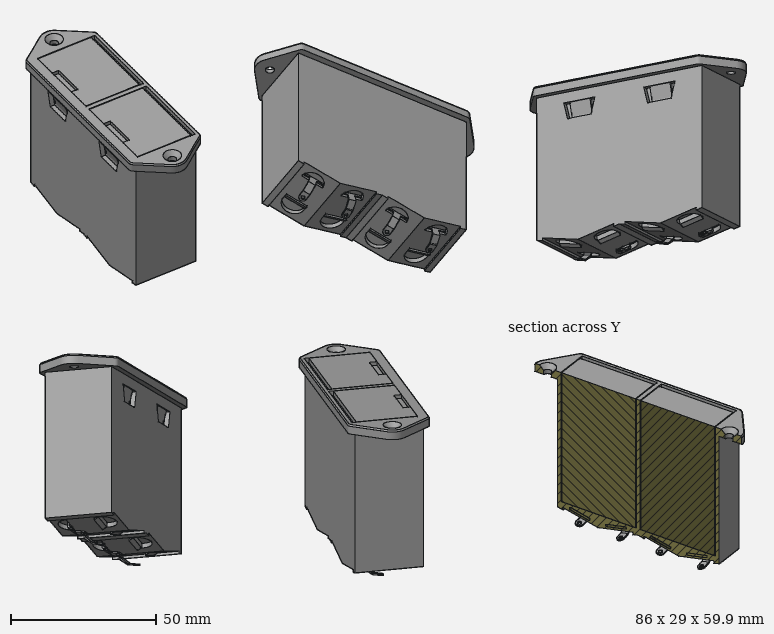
import cadquery as cq
import math

FLANGE_LENGTH = 86.0
FLANGE_WIDTH = 29.0
FLANGE_THICKNESS = 3.4
FLANGE_CORNER_RADIUS = 1.9
FLANGE_CHAMFER_HEIGHT = 0.6
FLANGE_CHAMFER_INSET = 0.35
TIP_RADIUS = 5.3
TIP_LINE_ANGLE = 36.9

SCREW_HOLE_DIAMETER = 3.0
COUNTERSINK_DIAMETER = 6.4
COUNTERSINK_ANGLE = 90.0
SCREW_HOLE_X = FLANGE_LENGTH / 2 - TIP_RADIUS

HOUSING_LENGTH = 67.1
HOUSING_WIDTH = 24.5
APEX_Z = -57.5
APEX_X = HOUSING_LENGTH / 4
UNDERSIDE_ANGLE = 12.0
LIP_WIDTH = 2.3
LIP_HEIGHT = 0.95

BAY_X = 16.4
BAY_LENGTH = 31.1
BAY_FRONT_Y = -10.5
DRAWER_CLEARANCE = 0.3
DRAWER_BACK_Y = 11.3
DRAWER_BOTTOM_Z = -52.0
GROOVE_BACK_Y = 12.9
GROOVE_DEPTH = 1.7
THUMB_SLOT_LENGTH = 12.2
THUMB_SLOT_WIDTH = 2.7
THUMB_SLOT_DEPTH = 1.4

LATCH_X = 16.25
WINDOW_TOP_Z = -7.1
WINDOW_HEIGHT = 5.9
WINDOW_TOP_LENGTH = 12.6
WINDOW_BOTTOM_LENGTH = 9.55
LATCH_LENGTH = 8.2
LATCH_HEIGHT = 4.9
LATCH_PROJECTION = 1.4

CONTACT_OFFSET = 7.8
CONTACT_PLACES = [(apex_x, side) for apex_x in (-APEX_X, APEX_X) for side in (-1, 1)]
RECESS_LENGTH = 21.15
RECESS_WIDTH = 8.4
RECESS_DEPTH = 1.7
BRIDGE_FRONT_Y = -3.95
BRIDGE_THICKNESS = 1.0
FOOT_FRONT_Y = -5.5
FOOT_HEIGHT = 0.9
LUG_WIDTH = 2.8
LUG_THICKNESS = 0.5
LUG_BACK_Y = 6.9
BRIDGE_BACK_Y = LUG_BACK_Y - LUG_THICKNESS
LUG_EYE_DIAMETER = 1.4
LUG_BEND_Y = 3.9
LUG_TIP_Y = 0.0
LUG_ROOT_DROP = 1.3
LUG_BEND_DROP = 3.4
LUG_TIP_DROP = 4.0

UNDERSIDE_SLOPE = math.tan(math.radians(UNDERSIDE_ANGLE))


def box_between(x_min, x_max, y_min, y_max, z_min, z_max):
    size = (x_max - x_min, y_max - y_min, z_max - z_min)
    return cq.Workplane("XY").box(*size, centered=False).translate((x_min, y_min, z_min))


def make_flange():
    """Hexagonal plate with rounded tips around the two countersunk screw holes."""
    half_width = FLANGE_WIDTH / 2
    normal_x = math.cos(math.radians(TIP_LINE_ANGLE))
    normal_y = math.sin(math.radians(TIP_LINE_ANGLE))
    tangent_x = SCREW_HOLE_X + TIP_RADIUS * normal_x
    tangent_y = TIP_RADIUS * normal_y
    corner_x = tangent_x - (half_width - tangent_y) * normal_y / normal_x
    tip_x = FLANGE_LENGTH / 2
    flange = (
        cq.Workplane("XY")
        .workplane(offset=-FLANGE_THICKNESS)
        .moveTo(-corner_x, -half_width)
        .lineTo(corner_x, -half_width)
        .lineTo(tangent_x, -tangent_y)
        .threePointArc((tip_x, 0), (tangent_x, tangent_y))
        .lineTo(corner_x, half_width)
        .lineTo(-corner_x, half_width)
        .lineTo(-tangent_x, tangent_y)
        .threePointArc((-tip_x, 0), (-tangent_x, -tangent_y))
        .close()
        .extrude(FLANGE_THICKNESS)
    )
    corners = cq.selectors.BoxSelector(
        (-corner_x - FLANGE_CORNER_RADIUS, -FLANGE_WIDTH, -FLANGE_THICKNESS),
        (corner_x + FLANGE_CORNER_RADIUS, FLANGE_WIDTH, 0),
    )
    flange = flange.edges("|Z").edges(corners).fillet(FLANGE_CORNER_RADIUS)
    flange = flange.faces(">Z").edges().chamfer(FLANGE_CHAMFER_HEIGHT, FLANGE_CHAMFER_INSET)
    return (
        flange.faces(">Z")
        .workplane(origin=(0, 0, 0))
        .pushPoints([(-SCREW_HOLE_X, 0), (SCREW_HOLE_X, 0)])
        .cskHole(SCREW_HOLE_DIAMETER, COUNTERSINK_DIAMETER, COUNTERSINK_ANGLE)
    )


def make_case():
    """Block below the flange, its underside two shallow V shapes between stepped lips."""
    half_length = HOUSING_LENGTH / 2
    recessed_half = APEX_X - LIP_WIDTH
    lip_end_z = APEX_Z + UNDERSIDE_SLOPE * APEX_X - LIP_HEIGHT
    step_top_z = APEX_Z + UNDERSIDE_SLOPE * recessed_half
    step_bottom_z = step_top_z - LIP_HEIGHT
    outline = [(half_length, -FLANGE_THICKNESS), (-half_length, -FLANGE_THICKNESS)]
    for center_x in (-APEX_X, APEX_X):
        outline += [
            (center_x - APEX_X, lip_end_z),
            (center_x - recessed_half, step_bottom_z),
            (center_x - recessed_half, step_top_z),
            (center_x, APEX_Z),
            (center_x + recessed_half, step_top_z),
            (center_x + recessed_half, step_bottom_z),
        ]
    outline.append((half_length, lip_end_z))
    return cq.Workplane("XZ").polyline(outline).close().extrude(HOUSING_WIDTH / 2, both=True)


def make_bay(side):
    """Space for one drawer, with the shallow finger groove behind it."""
    center_x = side * BAY_X
    x_min = center_x - BAY_LENGTH / 2
    x_max = center_x + BAY_LENGTH / 2
    bay = box_between(x_min, x_max, BAY_FRONT_Y, DRAWER_BACK_Y, DRAWER_BOTTOM_Z, 0)
    return bay.union(box_between(x_min, x_max, BAY_FRONT_Y, GROOVE_BACK_Y, -GROOVE_DEPTH, 0))


def make_window(side):
    """Tapered latch window through the front wall."""
    bottom_z = WINDOW_TOP_Z - WINDOW_HEIGHT
    return (
        cq.Workplane("XZ", origin=(side * LATCH_X, BAY_FRONT_Y, 0))
        .moveTo(-WINDOW_TOP_LENGTH / 2, WINDOW_TOP_Z)
        .lineTo(WINDOW_TOP_LENGTH / 2, WINDOW_TOP_Z)
        .lineTo(WINDOW_BOTTOM_LENGTH / 2, bottom_z)
        .lineTo(-WINDOW_BOTTOM_LENGTH / 2, bottom_z)
        .close()
        .extrude(HOUSING_WIDTH / 2 + BAY_FRONT_Y)
    )


def place_on_slope(shape, apex_x, side):
    """Tilt a level shape and move it onto the slope left (-1) or right (1) of an apex."""
    tilted = shape.rotate((0, 0, 0), (0, 1, 0), -side * UNDERSIDE_ANGLE)
    return tilted.translate((apex_x + side * CONTACT_OFFSET, 0, APEX_Z + CONTACT_OFFSET * UNDERSIDE_SLOPE))


def make_contact_recess():
    """Round-ended recess, cut upwards from the slope, with a bridge left across its mouth."""
    recess = cq.Workplane("XY").slot2D(RECESS_LENGTH, RECESS_WIDTH, 90).extrude(RECESS_DEPTH)
    bridge = box_between(
        -RECESS_WIDTH / 2, RECESS_WIDTH / 2, BRIDGE_FRONT_Y, BRIDGE_BACK_Y, 0, BRIDGE_THICKNESS
    )
    return recess.cut(bridge)


def make_housing():
    housing = make_flange().union(make_case())
    for side in (-1, 1):
        housing = housing.cut(make_bay(side)).cut(make_window(side))
    recess = make_contact_recess()
    for apex_x, side in CONTACT_PLACES:
        housing = housing.cut(place_on_slope(recess, apex_x, side))
    return housing


def make_drawer(side):
    """Drawer block with a thumb slot on top and a wedge-shaped latch on its front."""
    center_x = side * BAY_X
    half_length = BAY_LENGTH / 2 - DRAWER_CLEARANCE
    drawer = box_between(
        center_x - half_length, center_x + half_length,
        BAY_FRONT_Y, DRAWER_BACK_Y, DRAWER_BOTTOM_Z, 0,
    )
    thumb_slot = box_between(
        center_x - THUMB_SLOT_LENGTH / 2, center_x + THUMB_SLOT_LENGTH / 2,
        BAY_FRONT_Y, BAY_FRONT_Y + THUMB_SLOT_WIDTH, -THUMB_SLOT_DEPTH, 0,
    )
    latch = (
        cq.Workplane("YZ", origin=(side * LATCH_X, 0, 0))
        .moveTo(BAY_FRONT_Y, WINDOW_TOP_Z)
        .lineTo(BAY_FRONT_Y - LATCH_PROJECTION, WINDOW_TOP_Z)
        .lineTo(BAY_FRONT_Y, WINDOW_TOP_Z - LATCH_HEIGHT)
        .close()
        .extrude(LATCH_LENGTH / 2, both=True)
    )
    return drawer.cut(thumb_slot).union(latch)


def make_lug():
    """Bent solder lug with a rounded tip and an eye."""
    lug = (
        cq.Workplane("YZ")
        .moveTo(LUG_BACK_Y, RECESS_DEPTH)
        .lineTo(LUG_BACK_Y, -LUG_ROOT_DROP)
        .lineTo(LUG_BEND_Y, -LUG_BEND_DROP)
        .lineTo(LUG_TIP_Y, -LUG_TIP_DROP)
        .lineTo(LUG_TIP_Y, -LUG_TIP_DROP + LUG_THICKNESS)
        .lineTo(LUG_BEND_Y, -LUG_BEND_DROP + LUG_THICKNESS)
        .lineTo(LUG_BACK_Y - LUG_THICKNESS, -LUG_ROOT_DROP + LUG_THICKNESS)
        .lineTo(LUG_BACK_Y - LUG_THICKNESS, RECESS_DEPTH)
        .close()
        .extrude(LUG_WIDTH / 2, both=True)
    )
    strip_length = 2 * LUG_BACK_Y
    strip_center_y = LUG_TIP_Y + strip_length / 2
    strip_bottom = cq.Workplane("XY", origin=(0, strip_center_y, -LUG_TIP_DROP))
    strip = strip_bottom.slot2D(strip_length, LUG_WIDTH, 90).extrude(LUG_TIP_DROP + RECESS_DEPTH)
    eye_bottom = cq.Workplane("XY", origin=(0, LUG_TIP_Y + LUG_WIDTH / 2, -LUG_TIP_DROP))
    eye = eye_bottom.circle(LUG_EYE_DIAMETER / 2).extrude(LUG_TIP_DROP)
    return lug.intersect(strip).cut(eye)


def make_level_contact():
    """Contact plate above the bridge, with a wedge foot at one end and a lug at the other."""
    half_width = RECESS_WIDTH / 2
    plate = box_between(
        -half_width, half_width, FOOT_FRONT_Y, LUG_BACK_Y, BRIDGE_THICKNESS, RECESS_DEPTH
    ).intersect(make_contact_recess())
    foot = (
        cq.Workplane("YZ")
        .moveTo(FOOT_FRONT_Y, RECESS_DEPTH)
        .lineTo(FOOT_FRONT_Y, 0)
        .lineTo(BRIDGE_FRONT_Y, -FOOT_HEIGHT)
        .lineTo(BRIDGE_FRONT_Y, RECESS_DEPTH)
        .close()
        .extrude(half_width, both=True)
    )
    return plate.union(foot).union(make_lug())


housing = make_housing()
drawers = [make_drawer(side) for side in (-1, 1)]
level_contact = make_level_contact()
contacts = [place_on_slope(level_contact, apex_x, side) for apex_x, side in CONTACT_PLACES]

result = cq.Compound.makeCompound(
    [housing.val()] + [drawer.val() for drawer in drawers] + [contact.val() for contact in contacts]
)